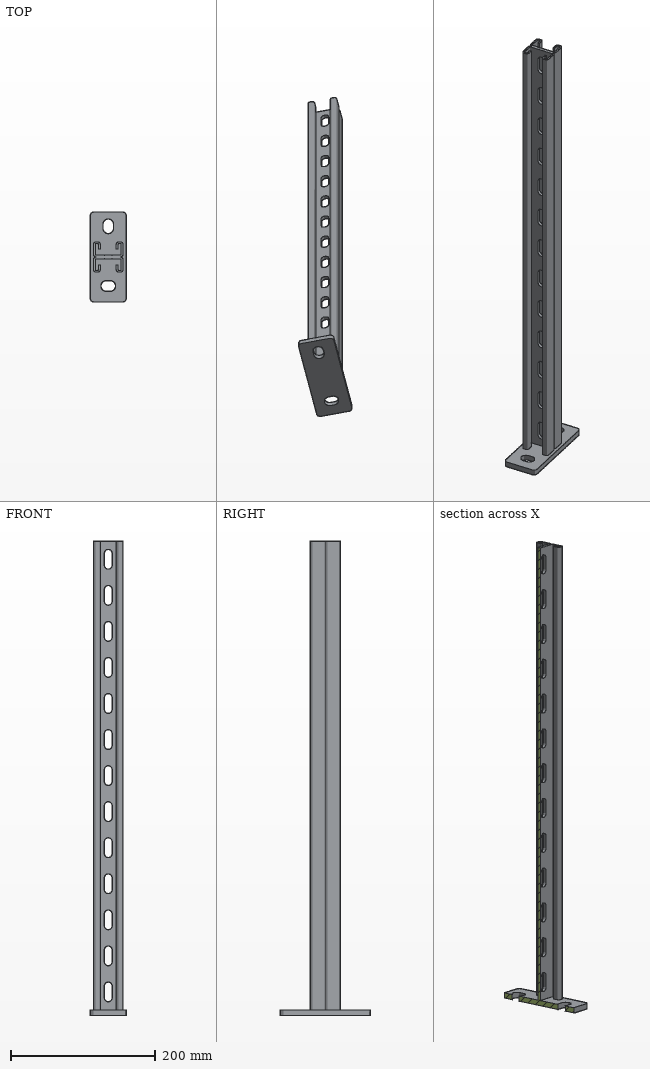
import cadquery as cq

PLATE_WIDTH = 50.0
PLATE_LENGTH = 125.0
PLATE_THICKNESS = 8.0
PLATE_CORNER_RADIUS = 5.0
ANCHOR_SLOT_LENGTH = 20.0
ANCHOR_SLOT_WIDTH = 14.5
LENGTHWISE_SLOT_Y = 42.5
CROSSWISE_SLOT_Y = -40.25

COLUMN_HEIGHT = 650.0
COLUMN_MID_Z = PLATE_THICKNESS + COLUMN_HEIGHT / 2
CHANNEL_WIDTH = 41.0
CHANNEL_DEPTH = 21.0
CHANNEL_OPENING = 22.0
SHEET_THICKNESS = 2.5
BEND_OUTER_RADIUS = 3.5
BEND_INNER_RADIUS = BEND_OUTER_RADIUS - SHEET_THICKNESS
LIP_DEPTH = 10.0

WEB_SLOT_LENGTH = 27.0
WEB_SLOT_WIDTH = 10.5
WEB_SLOT_PITCH = 50.0
WEB_SLOT_COUNT = 13


def make_base_plate():
    """Rounded plate lying on Z = 0 with one lengthwise and one crosswise anchor slot."""
    plate = (
        cq.Workplane("XY")
        .rect(PLATE_WIDTH, PLATE_LENGTH)
        .extrude(PLATE_THICKNESS)
        .edges("|Z")
        .fillet(PLATE_CORNER_RADIUS)
    )
    for center_y, angle in ((LENGTHWISE_SLOT_Y, 90), (CROSSWISE_SLOT_Y, 0)):
        slot = (
            cq.Workplane("XY")
            .center(0, center_y)
            .slot2D(ANCHOR_SLOT_LENGTH, ANCHOR_SLOT_WIDTH, angle)
            .extrude(PLATE_THICKNESS)
        )
        plate = plate.cut(slot)
    return plate


def make_bar(x_min, x_max, y_min, y_max):
    """Rectangular bar of column height standing on the plate."""
    return (
        cq.Workplane("XY", origin=(0, 0, PLATE_THICKNESS))
        .moveTo((x_min + x_max) / 2, (y_min + y_max) / 2)
        .rect(x_max - x_min, y_max - y_min)
        .extrude(COLUMN_HEIGHT)
    )


def make_channel():
    """Lipped channel with its web on the Y = 0 plane and its mouth toward +Y."""
    half_width = CHANNEL_WIDTH / 2
    half_inside = half_width - SHEET_THICKNESS
    half_opening = CHANNEL_OPENING / 2
    half_lip_cavity = half_opening + SHEET_THICKNESS
    mouth_inside = CHANNEL_DEPTH - SHEET_THICKNESS
    lip_end = CHANNEL_DEPTH - LIP_DEPTH

    channel = make_bar(-half_width, half_width, 0, CHANNEL_DEPTH).edges("|Z").fillet(BEND_OUTER_RADIUS)
    cavity = (
        make_bar(-half_inside, half_inside, SHEET_THICKNESS, mouth_inside)
        .edges("|Z")
        .fillet(BEND_INNER_RADIUS)
    )
    mouth = make_bar(-half_opening, half_opening, mouth_inside, CHANNEL_DEPTH)
    channel = channel.cut(cavity).cut(mouth)

    for side in (-1, 1):
        x_min, x_max = sorted((side * half_opening, side * half_lip_cavity))
        lip = make_bar(x_min, x_max, lip_end, CHANNEL_DEPTH)
        bend_edge = cq.selectors.NearestToPointSelector(
            (side * half_opening, CHANNEL_DEPTH, COLUMN_MID_Z)
        )
        channel = channel.union(lip).edges(bend_edge).fillet(BEND_OUTER_RADIUS)
        inner_edge = cq.selectors.NearestToPointSelector(
            (side * half_lip_cavity, mouth_inside, COLUMN_MID_Z)
        )
        channel = channel.edges(inner_edge).fillet(BEND_INNER_RADIUS)
    return channel


def cut_web_slots(column):
    """Vertical slots through both webs, evenly spaced along the column height."""
    slots = (
        cq.Workplane("XZ", origin=(0, 0, COLUMN_MID_Z))
        .rarray(1, WEB_SLOT_PITCH, 1, WEB_SLOT_COUNT)
        .slot2D(WEB_SLOT_LENGTH, WEB_SLOT_WIDTH, 90)
        .extrude(CHANNEL_DEPTH, both=True)
    )
    return column.cut(slots)


channel = make_channel()
column = channel.union(channel.mirror("XZ"))
result = make_base_plate().union(cut_web_slots(column))